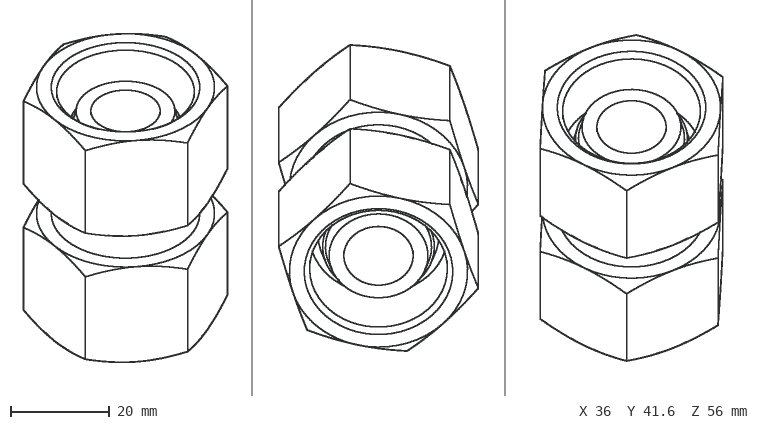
import cadquery as cq
import math

total_length = 56.0
across_flats = 36.0
nut_height = 24.1
edge_chamfer_angle = 30.0

collar_diameter = 30.0
bore_diameter = 14.0
socket_diameter = 27.85
socket_mouth_diameter = 30.0

tip_depth = 6.0
tip_diameter = 20.0
tip_base_diameter = 21.45
shoulder_diameter = 22.55
cone_base_diameter = 24.4
cone_half_angle = 12.0

across_corners = across_flats / math.cos(math.radians(30))
corner_drop = (across_corners - across_flats) / 2 * math.tan(math.radians(edge_chamfer_angle))
mouth_depth = (socket_mouth_diameter - socket_diameter) / 2
cone_slope = math.tan(math.radians(cone_half_angle))
shoulder_depth = tip_depth + (tip_base_diameter - tip_diameter) / 2 / cone_slope
socket_depth = shoulder_depth + (cone_base_diameter - shoulder_diameter) / 2 / cone_slope


def revolve_profile(points):
    """Revolve a closed radius/height outline about the Z axis."""
    return cq.Workplane("XZ").polyline(points).close().revolve(360, (0, 0), (0, 1))


def make_nut():
    """Hexagonal nut with corners on Y and conical chamfers at both ends."""
    hexagon = (
        cq.Workplane("XY")
        .polygon(6, across_corners)
        .extrude(nut_height)
        .rotate((0, 0, 0), (0, 0, 1), 90)
    )
    flat_radius = across_flats / 2
    corner_radius = across_corners / 2
    envelope = revolve_profile([
        (0, 0),
        (flat_radius, 0),
        (corner_radius, corner_drop),
        (corner_radius, nut_height - corner_drop),
        (flat_radius, nut_height),
        (0, nut_height),
    ])
    return hexagon.intersect(envelope)


def make_socket():
    """Annular void around the sealing cone, opening at the top end."""
    tip_height = total_length - tip_depth
    shoulder_height = total_length - shoulder_depth
    floor_height = total_length - socket_depth
    return revolve_profile([
        (0, total_length),
        (socket_mouth_diameter / 2, total_length),
        (socket_diameter / 2, total_length - mouth_depth),
        (socket_diameter / 2, floor_height),
        (cone_base_diameter / 2, floor_height),
        (shoulder_diameter / 2, shoulder_height),
        (tip_base_diameter / 2, shoulder_height),
        (tip_diameter / 2, tip_height),
        (0, tip_height),
    ])


nut = make_nut()
collar_length = total_length - 2 * nut_height
collar = (
    cq.Workplane("XY")
    .workplane(offset=nut_height)
    .circle(collar_diameter / 2)
    .extrude(collar_length)
)
body = nut.union(collar).union(nut.translate((0, 0, nut_height + collar_length)))

socket = make_socket()
middle = (0, 0, total_length / 2)
opposite_socket = socket.rotate(middle, (1, 0, total_length / 2), 180)
bore = cq.Workplane("XY").circle(bore_diameter / 2).extrude(total_length)
result = body.cut(socket).cut(opposite_socket).cut(bore)